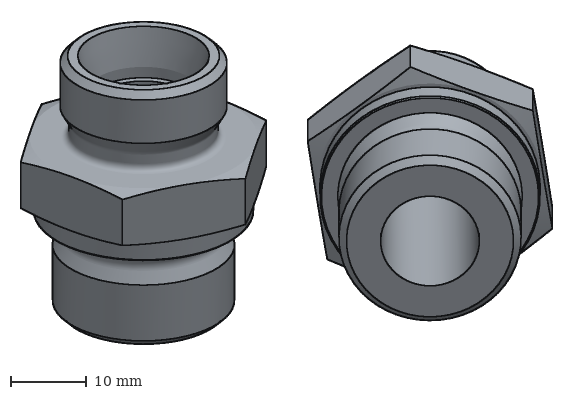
import cadquery as cq
import math

total_length = 37.0
flange_bottom = 14.0
hex_bottom = 17.0
hex_top = 25.0

hex_sides = 6
across_flats = 30.0
hex_chamfer_diameter = 30.0
hex_chamfer_angle = math.radians(15)

flange_diameter = 29.0
flange_chamfer = 0.2
end_chamfer = 1.0
undercut_angle = math.radians(30)

lower_diameter = 24.0
lower_neck_diameter = 21.7
lower_thread_top = 9.22
lower_neck_arc_radius = 1.6
shoulder_cone_angle = math.radians(35)

upper_diameter = 22.0
upper_neck_diameter = 19.7
upper_thread_bottom = 29.6
upper_neck_fillet = 1.0

bore_diameter = 13.0
tube_diameter = 15.0
tube_depth = 7.0
cone_mouth_diameter = 17.3
cone_half_angle = math.radians(12)


def lower_end():
    """Flange, undercut and lower threaded end as one turned body."""
    thread_r = lower_diameter / 2
    neck_r = lower_neck_diameter / 2
    flange_r = flange_diameter / 2
    arc_radius = lower_neck_arc_radius
    arc_bottom_r = neck_r + arc_radius * (1 - math.cos(undercut_angle))
    arc_bottom = lower_thread_top + (thread_r - arc_bottom_r) / math.tan(undercut_angle)
    arc_middle = arc_bottom + arc_radius * math.sin(undercut_angle)
    arc_top_r = neck_r + arc_radius * (1 - math.cos(shoulder_cone_angle))
    arc_top = arc_middle + arc_radius * math.sin(shoulder_cone_angle)
    shoulder_r = arc_top_r + (flange_bottom - arc_top) * math.tan(shoulder_cone_angle)
    return (
        cq.Workplane("XZ")
        .lineTo(thread_r - end_chamfer, 0)
        .lineTo(thread_r, end_chamfer)
        .lineTo(thread_r, lower_thread_top)
        .lineTo(arc_bottom_r, arc_bottom)
        .threePointArc((neck_r, arc_middle), (arc_top_r, arc_top))
        .lineTo(shoulder_r, flange_bottom)
        .lineTo(flange_r - flange_chamfer, flange_bottom)
        .lineTo(flange_r, flange_bottom + flange_chamfer)
        .lineTo(flange_r, hex_bottom)
        .lineTo(0, hex_bottom)
        .close()
        .revolve(360, (0, 0), (0, 1))
    )


def upper_end():
    """Upper threaded end with a neck filleted into the hexagon and the thread cone."""
    thread_r = upper_diameter / 2
    neck_r = upper_neck_diameter / 2
    fillet = upper_neck_fillet
    cone_bottom = upper_thread_bottom - (thread_r - neck_r) / math.tan(undercut_angle)
    tangent_length = fillet * math.tan(undercut_angle / 2)
    arc_start_z = cone_bottom - tangent_length
    arc_centre_r = neck_r + fillet
    arc_middle = (
        arc_centre_r - fillet * math.cos(undercut_angle / 2),
        arc_start_z + fillet * math.sin(undercut_angle / 2),
    )
    arc_end = (
        arc_centre_r - fillet * math.cos(undercut_angle),
        arc_start_z + fillet * math.sin(undercut_angle),
    )
    return (
        cq.Workplane("XZ")
        .moveTo(0, hex_top)
        .lineTo(neck_r + fillet, hex_top)
        .radiusArc((neck_r, hex_top + fillet), fillet)
        .lineTo(neck_r, arc_start_z)
        .threePointArc(arc_middle, arc_end)
        .lineTo(thread_r, upper_thread_bottom)
        .lineTo(thread_r, total_length - end_chamfer)
        .lineTo(thread_r - end_chamfer, total_length)
        .lineTo(0, total_length)
        .close()
        .revolve(360, (0, 0), (0, 1))
    )


def hexagon():
    """Hexagon with corners on the Y axis, chamfered conically on both faces."""
    across_corners = across_flats / math.cos(math.pi / hex_sides)
    corner_r = across_corners / 2
    face_r = hex_chamfer_diameter / 2
    corner_drop = (corner_r - face_r) * math.tan(hex_chamfer_angle)
    prism = (
        cq.Workplane("XY", origin=(0, 0, hex_bottom))
        .transformed(rotate=(0, 0, 90))
        .polygon(hex_sides, across_corners)
        .extrude(hex_top - hex_bottom)
    )
    chamfer_envelope = (
        cq.Workplane("XZ")
        .moveTo(0, hex_bottom)
        .lineTo(face_r, hex_bottom)
        .lineTo(corner_r, hex_bottom + corner_drop)
        .lineTo(corner_r, hex_top - corner_drop)
        .lineTo(face_r, hex_top)
        .lineTo(0, hex_top)
        .close()
        .revolve(360, (0, 0), (0, 1))
    )
    return prism.intersect(chamfer_envelope)


def bore():
    """Through bore, tube socket and conical mouth at the upper end."""
    bore_r = bore_diameter / 2
    tube_r = tube_diameter / 2
    mouth_r = cone_mouth_diameter / 2
    socket_floor = total_length - tube_depth
    cone_bottom = total_length - (mouth_r - tube_r) / math.tan(cone_half_angle)
    return (
        cq.Workplane("XZ")
        .lineTo(bore_r, 0)
        .lineTo(bore_r, socket_floor)
        .lineTo(tube_r, socket_floor)
        .lineTo(tube_r, cone_bottom)
        .lineTo(mouth_r, total_length)
        .lineTo(0, total_length)
        .close()
        .revolve(360, (0, 0), (0, 1))
    )


result = lower_end().union(hexagon()).union(upper_end()).cut(bore())